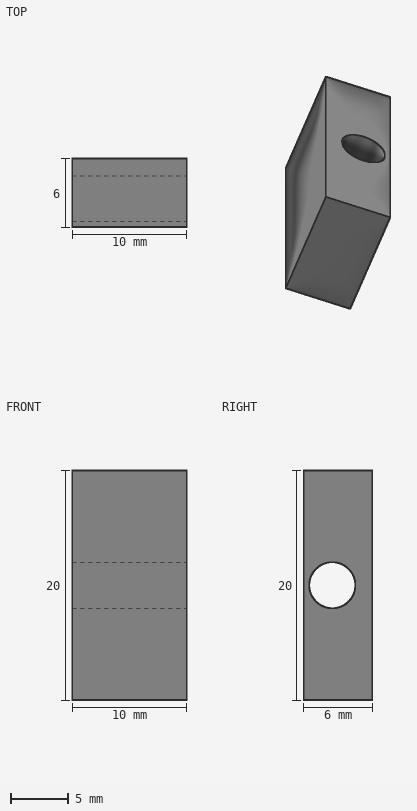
import cadquery as cq

width = 10.0
depth = 6.0
height = 20.0

hole_diameter = 4.0
hole_from_front = 2.5
hole_y = hole_from_front - depth / 2

block = cq.Workplane("XY").box(width, depth, height)

cross_hole = (
    cq.Workplane("YZ")
    .center(hole_y, 0)
    .circle(hole_diameter / 2)
    .extrude(width, both=True)
)

result = block.cut(cross_hole)